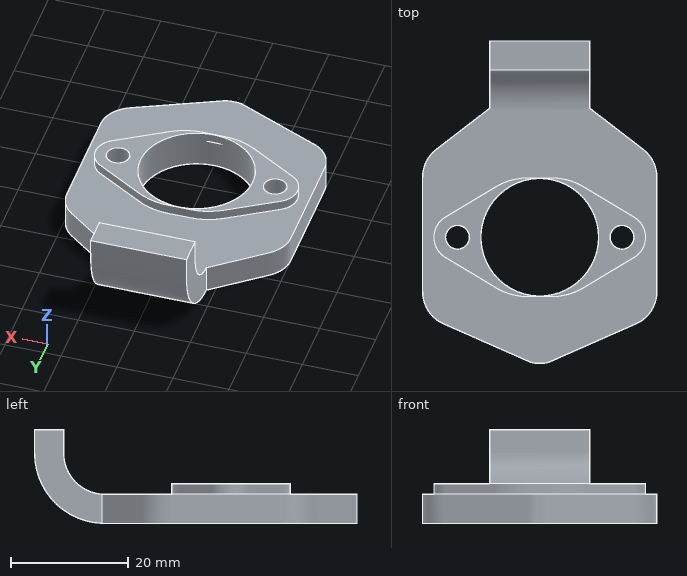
import cadquery as cq
import math


plate_width = 40.0
plate_thickness = 5.0
corner_y = 13.2
corner_radius = 6.0
front_y = -21.5
front_flat_width = 2.3
front_radius = 3.0
tab_width = 17.1
tab_rear_y = front_y + 55.0
tab_top_z = 16.0
tab_base_y = 22.0
bend_inner_radius = 7.0

flange_height = 1.8
flange_half_depth = 10.1
flange_shoulder_radius = 10.6
flange_slope = math.radians(31)
ear_radius = 4.0

bore_diameter = 20.0
bolt_diameter = 4.0
bolt_offset = 14.0


def make_plate():
    """Sweep the bent side profile across the width, then trim it to the outline."""
    half_width = plate_width / 2
    half_tab = tab_width / 2
    half_flat = front_flat_width / 2
    outline = (
        cq.Workplane("XY")
        .polyline([
            (-half_flat, front_y),
            (half_flat, front_y),
            (half_width, -corner_y),
            (half_width, corner_y),
            (half_tab, tab_base_y),
            (half_tab, tab_rear_y),
            (-half_tab, tab_rear_y),
            (-half_tab, tab_base_y),
            (-half_width, corner_y),
            (-half_width, -corner_y),
        ])
        .close()
        .extrude(tab_top_z)
    )
    outline = outline.edges("|Z").edges("<X or >X").fillet(corner_radius)
    outline = outline.edges("|Z").edges("<Y").fillet(front_radius)

    bend_outer_radius = bend_inner_radius + plate_thickness
    bend_y = tab_rear_y - bend_outer_radius
    side_profile = (
        cq.Workplane("YZ")
        .moveTo(front_y, 0)
        .lineTo(bend_y, 0)
        .radiusArc((tab_rear_y, bend_outer_radius), -bend_outer_radius)
        .lineTo(tab_rear_y, tab_top_z)
        .lineTo(tab_rear_y - plate_thickness, tab_top_z)
        .lineTo(tab_rear_y - plate_thickness, bend_outer_radius)
        .radiusArc((bend_y, plate_thickness), bend_inner_radius)
        .lineTo(front_y, plate_thickness)
        .close()
        .extrude(half_width, both=True)
    )
    return side_profile.intersect(outline)


def make_flange():
    """Six-sided pad whose sloping sides run tangent to the round ears."""
    tip_x = bolt_offset + ear_radius / math.sin(flange_slope)
    shoulder_x = tip_x - flange_half_depth / math.tan(flange_slope)
    pad = (
        cq.Workplane("XY")
        .workplane(offset=plate_thickness)
        .polyline([
            (tip_x, 0),
            (shoulder_x, flange_half_depth),
            (-shoulder_x, flange_half_depth),
            (-tip_x, 0),
            (-shoulder_x, -flange_half_depth),
            (shoulder_x, -flange_half_depth),
        ])
        .close()
        .extrude(flange_height)
    )
    pad = pad.edges("|Z").edges("<X or >X").fillet(ear_radius)
    return pad.edges("|Z").edges("<Y or >Y").fillet(flange_shoulder_radius)


def cut_holes(body):
    """Cut the main bore and the two bolt holes through everything."""
    total_thickness = plate_thickness + flange_height
    bore = cq.Workplane("XY").circle(bore_diameter / 2).extrude(total_thickness)
    bolts = (
        cq.Workplane("XY")
        .pushPoints([(-bolt_offset, 0), (bolt_offset, 0)])
        .circle(bolt_diameter / 2)
        .extrude(total_thickness)
    )
    return body.cut(bore).cut(bolts)


result = cut_holes(make_plate().union(make_flange()))